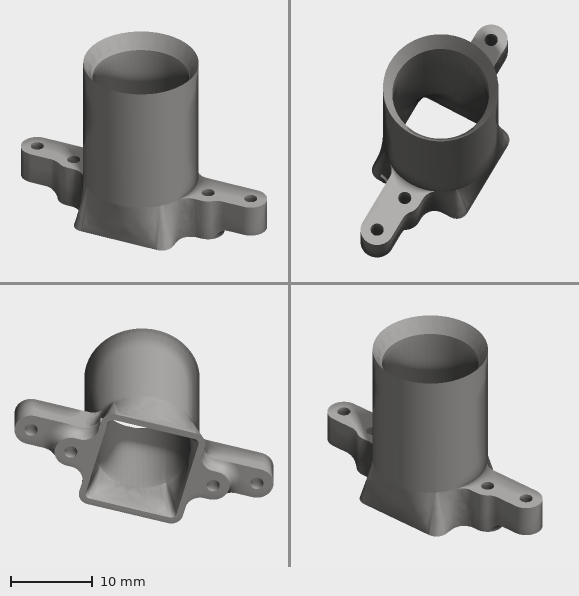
import cadquery as cq
import math

length = 32.65
height = 22.0
tube_radius = 7.05
bore_radius = 5.9
lead_in_angle = 30.0
base_height = 5.5
base_side = 13.12
base_corner = 1.47
corner_top_angle = 2.0
wall = 0.8
ear_radius = 2.02
ear_y = 0.9
ear_underside = 1.45
boss_radius = 2.0
boss_x = 9.0
hole_diameter = 1.6
flare_radius = 1.85
inner_x = 4.9

ear_x = length / 2 - ear_radius
ear_back = ear_y + ear_radius
ear_front = ear_y - ear_radius
lead_in_depth = (tube_radius - bore_radius) / math.tan(math.radians(lead_in_angle))


def square_to_round(side, corner, radius):
    """Loft from a rounded square on the ground to a circle at the base top."""
    straight = side / 2 - corner
    corner_mid = straight + corner * math.sqrt(0.5)
    half = side / 2
    round_mid = radius * math.sqrt(0.5)
    share = math.radians(45 - corner_top_angle / 2)
    near = radius * math.cos(share)
    far = radius * math.sin(share)

    square = cq.Workplane("XY").moveTo(half, -straight)
    circle = cq.Workplane("XY").workplane(offset=base_height).moveTo(near, -far)
    for quarter in range(4):
        turn = math.radians(90 * quarter)

        def turned(x, y):
            return (x * math.cos(turn) - y * math.sin(turn), x * math.sin(turn) + y * math.cos(turn))

        square = square.lineTo(*turned(half, straight))
        square = square.threePointArc(turned(corner_mid, corner_mid), turned(straight, half))
        circle = circle.threePointArc(turned(radius, 0), turned(near, far))
        circle = circle.threePointArc(turned(round_mid, round_mid), turned(far, near))
    wires = [square.close().val(), circle.close().val()]
    return cq.Workplane(cq.Solid.makeLoft(wires, True))


def ear_outline():
    """Plan of the ear on the +X side; a concave arc joins the boss to the straight front edge."""
    blend = boss_radius
    blend_y = ear_front - blend
    reach = math.sqrt((boss_radius + blend) ** 2 - blend_y ** 2)
    blend_x = boss_x + reach
    touch = ((boss_x + blend_x) / 2, blend_y / 2)
    touch_angle = math.atan2(blend_y, reach)
    boss_angle = (touch_angle - math.pi / 2) / 2
    blend_angle = (touch_angle + math.pi + math.pi / 2) / 2
    boss_mid = (boss_x + boss_radius * math.cos(boss_angle), boss_radius * math.sin(boss_angle))
    blend_mid = (blend_x + blend * math.cos(blend_angle), blend_y + blend * math.sin(blend_angle))
    return (
        cq.Workplane("XY")
        .moveTo(inner_x, -boss_radius)
        .lineTo(boss_x, -boss_radius)
        .threePointArc(boss_mid, touch)
        .threePointArc(blend_mid, (blend_x, ear_front))
        .lineTo(ear_x, ear_front)
        .threePointArc((length / 2, ear_y), (ear_x, ear_back))
        .lineTo(inner_x, ear_back)
        .close()
    )


def make_ear():
    """Ear plate with a lower boss whose side sweeps out into the plate's underside."""
    full = ear_outline().extrude(base_height)
    plate = full.intersect(
        cq.Workplane("XY").box(length, length, base_height, centered=(True, True, False))
        .translate((0, 0, ear_underside))
    )
    cove_mid = ear_underside * math.sqrt(0.5)
    top_width = boss_radius + ear_underside

    def boss_profile(plane):
        return (
            plane.lineTo(boss_radius, 0)
            .threePointArc((top_width - cove_mid, cove_mid), (top_width, ear_underside))
            .lineTo(0, ear_underside)
            .close()
        )

    tip = boss_profile(cq.Workplane("XZ")).revolve(360, (0, 0), (0, 1)).translate((boss_x, 0, 0))
    half_web = boss_profile(cq.Workplane("YZ")).extrude(boss_x - inner_x).translate((inner_x, 0, 0))
    web = half_web.union(half_web.mirror("XZ"))
    return plate.union(tip.union(web).intersect(full))


def make_lower_flare():
    """Corner under the ear's back edge, where the boss cove turns to meet the foot."""
    axis_x = base_side / 2 + flare_radius
    cove_axis_y = boss_radius + flare_radius
    edge_axis_y = ear_back + flare_radius
    tip_radius = flare_radius - ear_underside
    cove_mid = ear_underside * math.sqrt(0.5)
    block = (
        cq.Workplane("XY")
        .box(axis_x - inner_x, edge_axis_y - boss_radius, ear_underside, centered=False)
        .translate((inner_x, boss_radius, 0))
    )
    cove = (
        cq.Workplane("XZ")
        .lineTo(flare_radius, 0)
        .threePointArc((tip_radius + cove_mid, cove_mid), (tip_radius, ear_underside))
        .lineTo(0, ear_underside)
        .close()
        .revolve(360, (0, 0), (0, 1))
        .translate((axis_x, cove_axis_y, 0))
    )
    edge = cq.Workplane("XY").center(axis_x, edge_axis_y).circle(flare_radius).extrude(ear_underside)
    return block.cut(cove).cut(edge)


ear = make_ear()
body = square_to_round(base_side, base_corner, tube_radius).union(ear).union(ear.mirror("YZ"))

for side in (-1, 1):
    for joint_y in (-boss_radius, ear_back):
        joint = cq.selectors.NearestToPointSelector((side * base_side / 2, joint_y, base_height / 2))
        body = body.edges(joint).fillet(flare_radius)

lower_flare = make_lower_flare()
body = body.union(lower_flare).union(lower_flare.mirror("YZ"))

tube_height = height - base_height
body = body.union(cq.Workplane("XY").workplane(offset=base_height).circle(tube_radius).extrude(tube_height))

bore = cq.Workplane("XY").workplane(offset=base_height).circle(bore_radius).extrude(tube_height)
mouth = cq.Workplane(
    cq.Solid.makeCone(bore_radius, tube_radius, lead_in_depth, pnt=cq.Vector(0, 0, height - lead_in_depth))
)
passage = square_to_round(base_side - 2 * wall, base_corner - wall, bore_radius)
body = body.cut(passage).cut(bore).cut(mouth)

hole_places = [(side * x, y) for side in (-1, 1) for x, y in ((boss_x, 0), (ear_x, ear_y))]
holes = cq.Workplane("XY").pushPoints(hole_places).circle(hole_diameter / 2).extrude(base_height)

result = body.cut(holes)